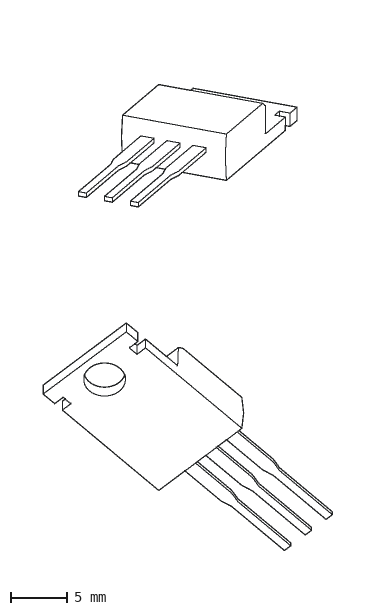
import cadquery as cq

overall_length = 29.0
width = 10.2
height = 4.5
tab_edge_y = overall_length / 2
lead_tip_y = -overall_length / 2

tab_thickness = 1.3
tab_length = 15.0
hole_diameter = 3.7
hole_to_tab_edge = 2.58
notch_to_tab_edge = 1.5
notch_length = 1.0
notch_depth = 1.05

parting_z = 2.46
body_front_y = tab_edge_y - 15.22
body_end_y = tab_edge_y - tab_length
body_back_y = tab_edge_y - 6.6
back_draft = 0.15
bevel_height = 0.44
bevel_length = 0.55

lead_count = 3
lead_pitch = 2.55
lead_thickness = 0.44
lead_wide = 1.3
lead_narrow = 0.78
neck_start_y = tab_edge_y - 21.05
neck_end_y = tab_edge_y - 22.15
lead_embed = 1.45


def make_tab():
    """Flat tab with a mounting hole and a notch in each side edge."""
    tab = cq.Workplane("XY").box(width, tab_length, tab_thickness, centered=(True, False, False))
    tab = tab.translate((0, tab_edge_y - tab_length, 0))
    hole = (
        cq.Workplane("XY")
        .center(0, tab_edge_y - hole_to_tab_edge)
        .circle(hole_diameter / 2)
        .extrude(tab_thickness)
    )
    notch_y = tab_edge_y - notch_to_tab_edge - notch_length / 2
    notches = (
        cq.Workplane("XY")
        .pushPoints([(-width / 2, notch_y), (width / 2, notch_y)])
        .rect(2 * notch_depth, notch_length)
        .extrude(tab_thickness)
    )
    return tab.cut(hole).cut(notches)


def make_body():
    """Side profile of the moulding, extruded across the full width."""
    bevel_y = body_back_y - back_draft
    profile = [
        (body_end_y, 0),
        (body_back_y, 0),
        (bevel_y, height - bevel_height),
        (bevel_y - bevel_length, height),
        (body_end_y, height),
        (body_front_y, parting_z),
    ]
    return cq.Workplane("YZ").polyline(profile).close().extrude(width / 2, both=True)


def make_lead(center_x):
    """Flat lead that narrows to its tip; its wide end is buried in the body."""
    root_y = body_front_y + lead_embed
    right_side = [
        (lead_wide / 2, root_y),
        (lead_wide / 2, neck_start_y),
        (lead_narrow / 2, neck_end_y),
        (lead_narrow / 2, lead_tip_y),
    ]
    left_side = [(-x, y) for x, y in reversed(right_side)]
    lead = cq.Workplane("XY").polyline(right_side + left_side).close().extrude(lead_thickness)
    return lead.translate((center_x, 0, parting_z))


result = make_tab().union(make_body())
for index in range(lead_count):
    lead_x = (index - (lead_count - 1) / 2) * lead_pitch
    result = result.union(make_lead(lead_x))